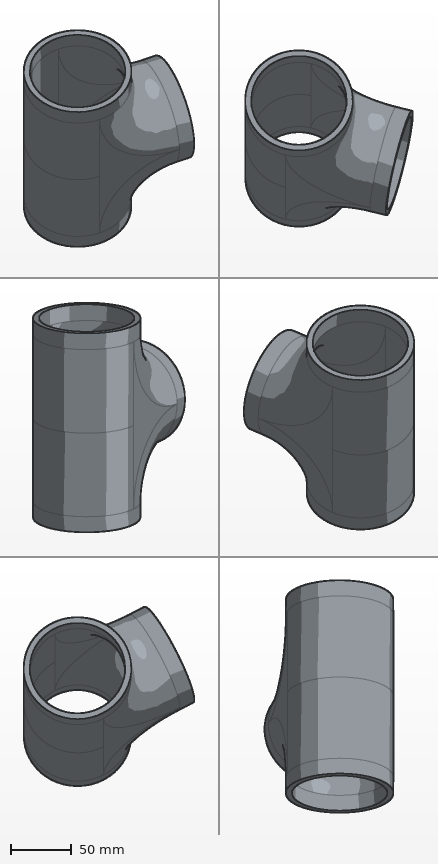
import cadquery as cq

length = 171.4
outer_diameter = 89.0
wall = 5.1
collar = 13.7

half_length = length / 2
bend_radius = half_length - collar
outer_radius = outer_diameter / 2
inner_radius = outer_radius - wall


def bend(radius):
    """Quarter torus joining the upper run to the branch."""
    return (
        cq.Workplane("XY", origin=(0, 0, bend_radius))
        .circle(radius)
        .revolve(90, (-1.7, bend_radius, 0), (1.7, bend_radius, 0))
    )


def web(radius):
    """Flat-sided filling between the run axis and the two bend centre lines."""
    arc_offset = bend_radius * (1 - 0.5**0.5)
    return (
        cq.Workplane("YZ")
        .moveTo(0, -bend_radius)
        .threePointArc((arc_offset, -arc_offset), (bend_radius, 0))
        .threePointArc((arc_offset, arc_offset), (0, bend_radius))
        .close()
        .extrude(radius, both=True)
    )


def tee(radius):
    """Solid tee of the given pipe radius."""
    run = cq.Workplane("XY").circle(radius).extrude(half_length, both=True)
    branch_end = cq.Workplane("XZ", origin=(0, half_length, 0)).circle(radius).extrude(collar)
    upper_bend = bend(radius)
    lower_bend = upper_bend.mirror("XY")
    return run.union(web(radius)).union(upper_bend).union(lower_bend).union(branch_end)


result = tee(outer_radius).cut(tee(inner_radius)).clean()